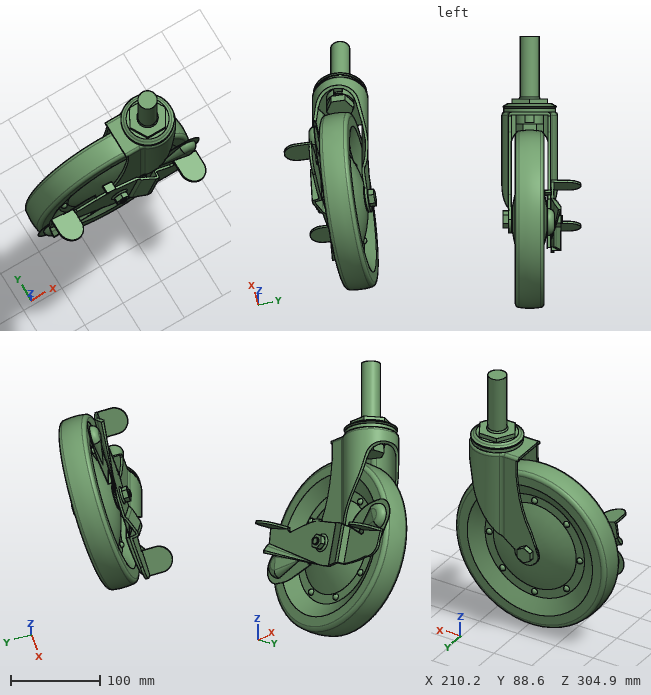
import cadquery as cq
import math


wheel_radius = 100.0
tread_half_width = 12.0
tread_corner = (97.6, 14.8)
tread_edge_radius = 99.0
wheel_half_width = 16.2
shoulder_radius = 94.0
rim_radius = 82.6
web_radius = 65.6
web_half_width = 5.8
dome_base_radius = 54.7
dome_mid_radius = 27.4
dome_mid_y = 16.7
hub_radius = 14.0
hub_y = 19.3
rivet_count = 8
rivet_circle_radius = 59.7
rivet_radius = 3.7

sheet = 3.0
leg_inner_y = 20.5
leg_outer_y = leg_inner_y + sheet
swivel_x = 53.0
shell_radius = 31.3
shell_blend = 8.0
fork_top = 120.0
fork_base = -20.0
fork_edge_fillet = 3.5
fork_back_x = 11.3
crown_lip = 4.0
leg_back_x = 13.8
leg_end_radius = 15.5
shell_front_z = 103.4
race_radius = 29.2
race_height = 4.3

stem_radius = 10.8
stem_top = 204.86
cap_bottom = fork_top + race_height
cap_ring_radius = 30.0
cap_ring_bottom = 126.0
cap_base_radius = 28.2
cap_ring_top = 126.6
cap_step_radius = 27.0
cap_step_z = 128.2
cap_top = 130.0
cap_top_radius = 24.0
stem_hex_flats = 40.0
stem_hex_top = 135.0
stem_flare_radius = 12.0
stem_flare_top = 137.2
collar_radius = 15.5
collar_height = 10.0
collar_slot_width = 10.0
collar_slot_depth = 8.5
lower_nut_height = 10.0

plate_gauge = 0.5
sheet_reach = 120.0
lobe_y = -20.0
lobe_radius = 18.7
left_lobe = (-83.0, -5.0)
right_lobe = (89.75, 10.0)
plate_step_left = -27.0
plate_step_right = 36.5
dome_height = 8.0
dome_radius = 15.2
dome_round = 7.6
dome_tip_scale = 0.04
left_dome = (-79.8, -3.0)
left_dome_tip = (-47.0, -6.0)
right_dome = (87.6, 8.6)
right_dome_tip = (54.0, -3.0)

pedal_back_y = -leg_outer_y - plate_gauge
pedal_front_y = pedal_back_y - sheet
rib_angle = 15.0
rib_crest_y = -35.0
rib_start = 18.8
rib_break = 22.8
rib_break_y = -29.5
rib_crest_start = 39.6
rib_crest_end = 44.5
rib_end = 45.8
rib_wall = 2.5
pad_width = 30.0
pad_angle = 17.0
pad_thickness = 2.6
pad_tip_y = -57.25
left_pad = (-73.1, 38.2)
right_pad = (86.7, -7.7)
pedal_heel = (-88.0, 42.0)
flare_outer = (-90.5, 24.0)
flare_inner = (-11.0, -21.5)
flare_bend = 3.5
flare_depth = 11.3
flare_drop = 10.0
flare_end_scale = 0.05
stop_centre = (-10.3, 29.8)
stop_length = 12.0
stop_thickness = 2.8
stop_tip_y = -17.0

axle_radius = 4.3
axle_chamfer = 0.6
head_flats = 17.0
head_height = 6.5
nut_flats = 15.0
nut_flange_radius = 10.3
nut_flange_height = 2.0
nut_height = 6.0
axle_protrusion = 2.0


def along_y(workplane_y):
    """Sketch plane with X to the right and Z up, extruding toward -Y."""
    return cq.Workplane("XZ", origin=(0, workplane_y, 0))


def disc_y(radius, y_low, y_high):
    return along_y(y_high).circle(radius).extrude(y_high - y_low)


def hexagon_diameter(across_flats):
    return across_flats / math.cos(math.pi / 6)


def make_wheel():
    section = (
        cq.Workplane("XY")
        .moveTo(0, -leg_inner_y)
        .lineTo(hub_radius, -leg_inner_y)
        .lineTo(hub_radius, -hub_y)
        .threePointArc((dome_mid_radius, -dome_mid_y), (dome_base_radius, -web_half_width))
        .lineTo(web_radius, -web_half_width)
        .lineTo(rim_radius, -wheel_half_width)
        .lineTo(shoulder_radius, -wheel_half_width)
        .threePointArc((tread_corner[0], -tread_corner[1]), (tread_edge_radius, -tread_half_width))
        .threePointArc((wheel_radius, 0), (tread_edge_radius, tread_half_width))
        .threePointArc(tread_corner, (shoulder_radius, wheel_half_width))
        .lineTo(rim_radius, wheel_half_width)
        .lineTo(web_radius, web_half_width)
        .lineTo(dome_base_radius, web_half_width)
        .threePointArc((dome_mid_radius, dome_mid_y), (hub_radius, hub_y))
        .lineTo(hub_radius, leg_inner_y)
        .lineTo(0, leg_inner_y)
        .close()
    )
    wheel = section.revolve(360, (0, 0, 0), (0, 1, 0))
    rivet = cq.Workplane("XY").sphere(rivet_radius)
    for side in (-1, 1):
        for index in range(rivet_count):
            angle = 2 * math.pi * index / rivet_count
            x = rivet_circle_radius * math.cos(angle)
            z = rivet_circle_radius * math.sin(angle)
            wheel = wheel.union(rivet.translate((x, side * web_half_width, z)))
    return wheel.cut(disc_y(axle_radius, -leg_inner_y, leg_inner_y))


def fork_plan_block(half_width, radius, blend, top):
    """Solid with the fork's plan shape: a straight channel ending in a round."""
    height = top - fork_base
    junction_x = swivel_x - math.sqrt(radius**2 - half_width**2)
    length = swivel_x + leg_end_radius
    channel = cq.Workplane("XY").box(length, 2 * half_width, height, centered=(False, True, False))
    channel = channel.translate((-leg_end_radius, 0, fork_base))
    barrel = cq.Workplane("XY", origin=(swivel_x, 0, fork_base)).circle(radius).extrude(height)
    margin = 1.0
    junctions = cq.selectors.BoxSelector(
        (junction_x - margin, -half_width - margin, fork_base),
        (junction_x + margin, half_width + margin, top),
    )
    return channel.union(barrel).edges("|Z").edges(junctions).fillet(blend)


def fork_side_outline():
    reach = shell_radius + 1
    front_x = swivel_x + reach
    return (
        along_y(reach)
        .moveTo(fork_back_x, fork_top)
        .lineTo(fork_back_x, fork_top - crown_lip)
        .lineTo(leg_back_x, fork_top - crown_lip)
        .lineTo(leg_back_x, 98)
        .spline([(10.7, 74), (1.5, 41), (-5, 27.5)], includeCurrent=True)
        .lineTo(-leg_end_radius, 0)
        .threePointArc((0, -leg_end_radius), (leg_end_radius, 0))
        .lineTo(34.9, 14.7)
        .spline([(52.5, 38.6), (68.5, 71.6), (78, 98), (84, shell_front_z)], includeCurrent=True)
        .lineTo(front_x, shell_front_z)
        .lineTo(front_x, fork_top)
        .close()
        .extrude(2 * reach)
    )


def make_fork():
    outer = fork_plan_block(leg_outer_y, shell_radius, shell_blend, fork_top)
    outer = outer.faces(">Z").edges("not <X").fillet(fork_edge_fillet)
    inner = fork_plan_block(leg_inner_y, shell_radius - sheet, shell_blend + sheet, fork_top - sheet)
    fork = outer.cut(inner).intersect(fork_side_outline())
    swivel = cq.Workplane("XY", origin=(swivel_x, 0, fork_top))
    fork = fork.union(swivel.circle(race_radius).extrude(race_height))
    fork = fork.cut(swivel.circle(stem_radius).extrude(2 * sheet + race_height, both=True))
    return fork.cut(disc_y(axle_radius, -leg_outer_y, leg_outer_y))


def make_stem():
    collar_top = fork_top - sheet
    collar_bottom = collar_top - collar_height
    nut_bottom = collar_bottom - lower_nut_height
    stem = (
        cq.Workplane("XZ", origin=(swivel_x, 0, 0))
        .moveTo(0, nut_bottom)
        .lineTo(stem_radius, nut_bottom)
        .lineTo(stem_radius, cap_bottom)
        .lineTo(cap_base_radius, cap_bottom)
        .lineTo(cap_ring_radius, cap_ring_bottom)
        .lineTo(cap_ring_radius, cap_ring_top)
        .lineTo(cap_step_radius, cap_step_z)
        .lineTo(cap_top_radius, cap_top)
        .lineTo(stem_flare_radius, cap_top)
        .lineTo(stem_flare_radius, stem_hex_top)
        .lineTo(stem_radius, stem_flare_top)
        .lineTo(stem_radius, stem_top)
        .lineTo(0, stem_top)
        .close()
        .revolve(360, (0, 0, 0), (0, 1, 0))
    )
    hexagon = (
        cq.Workplane("XY", origin=(swivel_x, 0, cap_top))
        .polygon(6, hexagon_diameter(stem_hex_flats))
        .extrude(stem_hex_top - cap_top)
    )
    collar = (
        cq.Workplane("XY", origin=(swivel_x, 0, collar_bottom)).circle(collar_radius).extrude(collar_height)
    )
    slot = cq.Workplane("XY").box(2 * collar_radius, collar_slot_width, collar_slot_depth)
    slot = slot.translate((swivel_x, 0, collar_top - collar_slot_depth / 2))
    lower_nut = (
        cq.Workplane("XY", origin=(swivel_x, 0, nut_bottom))
        .transformed(rotate=(0, 0, 90))
        .polygon(6, 2 * collar_radius)
        .extrude(lower_nut_height)
    )
    return stem.union(collar.cut(slot)).union(hexagon).union(lower_nut)


def hexagon_y(across_flats, y_low, y_high):
    """Hexagonal prism along Y with corners pointing up and down."""
    diameter = hexagon_diameter(across_flats)
    return along_y(y_high).transformed(rotate=(0, 0, 90)).polygon(6, diameter).extrude(y_high - y_low)


def make_axle():
    flange_front = pedal_front_y - nut_flange_height
    nut_front = flange_front - nut_height
    axle = disc_y(axle_radius, nut_front - axle_protrusion, leg_outer_y).faces("<Y").chamfer(axle_chamfer)
    axle = axle.union(hexagon_y(head_flats, leg_outer_y, leg_outer_y + head_height))
    flange = along_y(pedal_front_y).circle(nut_flange_radius).workplane(offset=nut_flange_height)
    flange = flange.circle(nut_flats / 2).loft()
    return axle.union(flange).union(hexagon_y(nut_flats, nut_front, flange_front))


def make_dome(centre, tip):
    """Teardrop dome: a round-shouldered half button whose section shrinks evenly to a tip."""
    reach = math.hypot(tip[0] - centre[0], tip[1] - centre[1])
    heading = math.degrees(math.atan2(tip[1] - centre[1], tip[0] - centre[0]))
    flat = dome_radius - dome_round
    shoulder_x = flat + dome_round * math.sin(math.pi / 4)
    shoulder_z = dome_height - dome_round * (1 - math.cos(math.pi / 4))
    skirt = dome_height - dome_round

    button = (
        cq.Workplane("XZ")
        .lineTo(dome_radius, 0)
        .lineTo(dome_radius, skirt)
        .threePointArc((shoulder_x, shoulder_z), (flat, dome_height))
        .lineTo(0, dome_height)
        .close()
        .revolve(180, (0, 0, 0), (0, 1, 0))
        .rotate((0, 0, 0), (0, 0, 1), 90)
    )

    def section(plane, scale):
        return (
            plane.moveTo(-dome_radius * scale, 0)
            .lineTo(-dome_radius * scale, skirt * scale)
            .threePointArc((-shoulder_x * scale, shoulder_z * scale), (-flat * scale, dome_height * scale))
            .lineTo(flat * scale, dome_height * scale)
            .threePointArc((shoulder_x * scale, shoulder_z * scale), (dome_radius * scale, skirt * scale))
            .lineTo(dome_radius * scale, 0)
            .close()
        )

    root = section(cq.Workplane("YZ"), 1.0)
    tail = section(root.workplane(offset=reach), dome_tip_scale).loft(ruled=True)
    dome = button.union(tail).rotate((0, 0, 0), (0, 0, 1), heading)
    return dome.rotate((0, 0, 0), (1, 0, 0), 90).translate((centre[0], lobe_y, centre[1]))


def plate_sheet():
    """Sheet bent to stand clear of the fork leg around the axle."""
    low_back = lobe_y + plate_gauge
    mid_back = pedal_back_y + plate_gauge
    return (
        cq.Workplane("XY", origin=(0, 0, -sheet_reach))
        .moveTo(-sheet_reach, low_back)
        .lineTo(plate_step_left, low_back)
        .lineTo(plate_step_left, mid_back)
        .lineTo(plate_step_right, mid_back)
        .lineTo(plate_step_right, low_back)
        .lineTo(sheet_reach, low_back)
        .lineTo(sheet_reach, lobe_y)
        .lineTo(plate_step_right + plate_gauge, lobe_y)
        .lineTo(plate_step_right + plate_gauge, pedal_back_y)
        .lineTo(plate_step_left - plate_gauge, pedal_back_y)
        .lineTo(plate_step_left - plate_gauge, lobe_y)
        .lineTo(-sheet_reach, lobe_y)
        .close()
        .extrude(2 * sheet_reach)
    )


def plate_outline():
    left_x, left_z = left_lobe
    right_x, right_z = right_lobe
    corner_angle = math.radians(-37)
    corner_x = right_x + lobe_radius * math.cos(corner_angle)
    corner_z = right_z + lobe_radius * math.sin(corner_angle)
    return (
        along_y(0)
        .moveTo(left_x, left_z + lobe_radius)
        .threePointArc((left_x - lobe_radius, left_z), (left_x, left_z - lobe_radius))
        .spline([(-62, -24.4), (-48, -21.5), (-26, -16.5)], includeCurrent=True)
        .lineTo(20, -27)
        .spline([(58, -32.5), (90, -22)], includeCurrent=True)
        .lineTo(corner_x, corner_z)
        .threePointArc((right_x + lobe_radius, right_z), (right_x, right_z + lobe_radius))
        .spline([(76, 28.5), (62, 25.7), (51, 20), (42, 11)], includeCurrent=True)
        .lineTo(30, 5)
        .lineTo(-6, 20)
        .lineTo(-40, 24)
        .close()
        .extrude(-2 * pedal_front_y)
    )


def make_plate():
    plate = plate_sheet().intersect(plate_outline())
    plate = plate.union(make_dome(left_dome, left_dome_tip))
    plate = plate.union(make_dome(right_dome, right_dome_tip))
    return plate.cut(disc_y(axle_radius, pedal_back_y, lobe_y))


def pedal_sheet():
    """Sheet with one raised cross rib, turned to the rib's slope."""
    crest_back_y = rib_crest_y + sheet
    return (
        cq.Workplane("XY", origin=(0, 0, -sheet_reach))
        .moveTo(-sheet_reach, pedal_back_y)
        .lineTo(rib_start, pedal_back_y)
        .lineTo(rib_break, rib_break_y + sheet)
        .lineTo(rib_crest_start, crest_back_y)
        .lineTo(rib_crest_end - rib_wall, crest_back_y)
        .lineTo(rib_end - rib_wall, pedal_back_y)
        .lineTo(sheet_reach, pedal_back_y)
        .lineTo(sheet_reach, pedal_front_y)
        .lineTo(rib_end, pedal_front_y)
        .lineTo(rib_crest_end, rib_crest_y)
        .lineTo(rib_crest_start, rib_crest_y)
        .lineTo(rib_break, rib_break_y)
        .lineTo(rib_start, pedal_front_y)
        .lineTo(-sheet_reach, pedal_front_y)
        .close()
        .extrude(2 * sheet_reach)
        .rotate((0, 0, 0), (0, 1, 0), rib_angle)
    )


def pedal_outline():
    return (
        along_y(0)
        .moveTo(*pedal_heel)
        .lineTo(*flare_outer)
        .lineTo(*flare_inner)
        .spline([(10.5, -30.3), (31, -34.3), (58, -37), (75, -36.4)], includeCurrent=True)
        .threePointArc((90, -34.5), (95, -29))
        .lineTo(100.6, -12.5)
        .lineTo(72.5, -3.5)
        .lineTo(71, -8)
        .lineTo(67, -8)
        .spline([(56, 0), (40, 11), (10.5, 22), (-5, 27.5), (-30, 29.2), (-55, 27.5)], includeCurrent=True)
        .lineTo(-58.5, 31)
        .lineTo(-58.5, 33)
        .close()
        .extrude(-rib_crest_y)
    )


def make_pad(centre):
    """Foot pad standing off the sheet toward -Y with a full-round end."""
    half = pad_width / 2
    round_start_y = pad_tip_y + half
    pad = (
        cq.Workplane("XY", origin=(0, 0, -pad_thickness / 2))
        .moveTo(-half, pedal_back_y)
        .lineTo(-half, round_start_y)
        .threePointArc((0, pad_tip_y), (half, round_start_y))
        .lineTo(half, pedal_back_y)
        .close()
        .extrude(pad_thickness)
    )
    return pad.rotate((0, 0, 0), (0, 1, 0), pad_angle).translate((centre[0], 0, centre[1]))


def make_flare():
    """Lower edge turned outward, deepest at the pedal's end and running out to nothing."""

    def section(corner, scale):
        steps = [
            (0, 0),
            (-sheet, 0),
            (-sheet - flare_bend, -flare_bend),
            (-flare_depth, -flare_drop),
            (-flare_depth, -flare_drop - sheet),
            (-flare_depth + sheet, -flare_drop - sheet),
            (-flare_bend, -flare_bend - sheet),
        ]
        corners = [(corner[0], pedal_back_y + y * scale, corner[1] + z * scale) for y, z in steps]
        return cq.Wire.makePolygon([cq.Vector(*point) for point in corners], close=True)

    wires = [section(flare_outer, 1.0), section(flare_inner, flare_end_scale)]
    return cq.Workplane(obj=cq.Solid.makeLoft(wires, True))


def make_stop_tab():
    depth = stop_tip_y - pedal_front_y
    tab = cq.Workplane("XY").box(stop_length, depth, stop_thickness)
    tab = tab.rotate((0, 0, 0), (0, 1, 0), rib_angle)
    return tab.translate((stop_centre[0], pedal_front_y + depth / 2, stop_centre[1]))


def make_pedal(fork, plate):
    pedal = pedal_sheet().intersect(pedal_outline())
    for centre in (left_pad, right_pad):
        pedal = pedal.union(make_pad(centre))
    pedal = pedal.union(make_flare()).union(make_stop_tab().cut(fork))
    return pedal.cut(plate).cut(disc_y(axle_radius, pedal_front_y, pedal_back_y))


wheel = make_wheel()
fork = make_fork()
stem = make_stem()
axle = make_axle()
plate = make_plate()
pedal = make_pedal(fork, plate)

result = cq.Compound.makeCompound(
    [body.solids().val() for body in (wheel, fork, stem, axle, plate, pedal)]
)